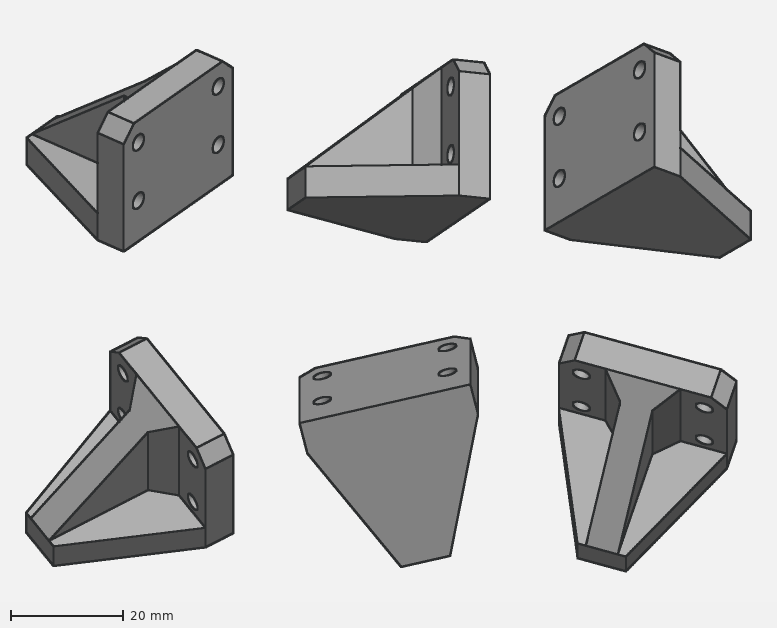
import cadquery as cq

length = 31.0
width = 31.4
height = 26.0

plate_thickness = 5.95
plate_chamfer = 2.95
base_height = 5.78
nose_width = 9.0

rib_width = 6.0
rib_flare = 4.02

hole_diameter = 3.2
hole_spacing_y = 23.0
hole_spacing_z = 12.5
lower_hole_z = 8.75

plate_front = length - plate_thickness


def make_plate():
    """Upright plate with its two upper corners chamfered."""
    plate = cq.Workplane("XY").box(plate_thickness, width, height, centered=(False, True, False))
    return plate.edges("|X and >Z").chamfer(plate_chamfer).translate((plate_front, 0, 0))


def make_base():
    """Foot that tapers from the plate width to the nose."""
    return (
        cq.Workplane("XY")
        .polyline([
            (0, -nose_width / 2),
            (plate_front, -width / 2),
            (plate_front, width / 2),
            (0, nose_width / 2),
        ])
        .close()
        .extrude(base_height)
    )


def make_rib():
    """Central rib, flared at the plate and cut by the slope from nose to plate top."""
    flare_start = plate_front - rib_flare
    half_rib = rib_width / 2
    half_flared = half_rib + rib_flare
    footprint = (
        cq.Workplane("XY")
        .polyline([
            (0, -half_rib),
            (flare_start, -half_rib),
            (plate_front, -half_flared),
            (plate_front, half_flared),
            (flare_start, half_rib),
            (0, half_rib),
        ])
        .close()
        .extrude(height)
    )
    slope_profile = (
        cq.Workplane("XZ")
        .polyline([(0, 0), (plate_front, 0), (plate_front, height), (0, base_height)])
        .close()
        .extrude(width / 2, both=True)
    )
    return footprint.intersect(slope_profile)


def make_holes():
    """Four bolt holes running through the plate along X."""
    return (
        cq.Workplane("YZ", origin=(plate_front, 0, lower_hole_z + hole_spacing_z / 2))
        .rarray(hole_spacing_y, hole_spacing_z, 2, 2)
        .circle(hole_diameter / 2)
        .extrude(plate_thickness)
    )


result = make_plate().union(make_base()).union(make_rib()).cut(make_holes())